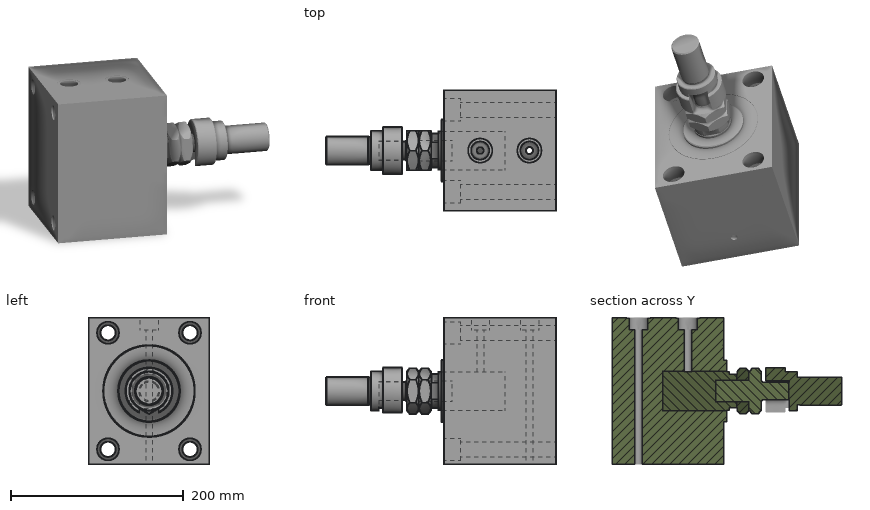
import cadquery as cq
import math


overall_length = 267.0

block_length = 130.0
block_width = 140.0
block_height = 170.0
boss_radius = 36.0
boss_length = 3.5
boss_chamfer = 1.0

gland_radius = 53.5
groove_width = 0.8
groove_depth = 0.5

mount_pitch_y = 95.0
mount_pitch_z = 135.0
mount_diameter = 17.4
mount_bore_diameter = 25.5
mount_bore_depth = 18.7

front_port_x = 42.0
rear_port_x = 99.0
spotface_diameter = 28.0
spotface_depth = 0.3
port_diameter = 21.0
port_depth = 14.0
drill_diameter = 8.0

rod_radius = 22.5
rod_neck_radius = 22.0
rod_front_x = -15.0
rod_front_chamfer = 0.5
flats_end_x = -6.5
rod_across_flats = 39.5
rod_rear_x = (front_port_x + rear_port_x) / 2

hex_across_flats = 46.2
hex_thickness = 14.2
hex_corner_radius = hex_across_flats / math.sqrt(3)
hex_face_radius = 22.5
hex_chamfer_angle = 40
nut_front_x = rod_front_x - hex_thickness
stud_hex_front_x = nut_front_x - hex_thickness

neck_radius = 10.7
neck_flare = 1.3
shank_radius = 12.0
shank_depth_in_rod = 24.0

tip_x = block_length - overall_length
pin_radius = 16.5
pin_chamfer = 1.3
pin_rear_taper = 1.0
relief_radius = 16.0
relief_front_x = -87.0
flange_front_x = -85.2
flange_radius = 23.0
ring_front_x = -71.0
ring_rear_x = -48.3
ring_radius = 27.5
edge_chamfer = 0.8
slot_front_x = -75.5
slot_width = 23.0


def cylinder_x(radius, start, end):
    """Round bar on the X axis from start to end."""
    return cq.Workplane("YZ").workplane(offset=start).circle(radius).extrude(end - start)


def make_housing():
    block = cq.Workplane("XY").box(block_length, block_width, block_height, centered=(False, True, True))
    boss = cylinder_x(boss_radius, -boss_length, 0).faces("<X").chamfer(boss_chamfer)
    housing = block.union(boss)

    groove = cylinder_x(gland_radius, 0, groove_depth).cut(
        cylinder_x(gland_radius - groove_width, 0, groove_depth)
    )
    housing = housing.cut(groove)

    mount_points = [
        (side_y * mount_pitch_y / 2, side_z * mount_pitch_z / 2) for side_y in (-1, 1) for side_z in (-1, 1)
    ]
    front_plane = cq.Workplane("YZ").pushPoints(mount_points)
    housing = housing.cut(front_plane.circle(mount_diameter / 2).extrude(block_length))
    housing = housing.cut(front_plane.circle(mount_bore_diameter / 2).extrude(mount_bore_depth))

    top_plane = cq.Workplane("XY").workplane(offset=block_height / 2)
    ports = top_plane.pushPoints([(front_port_x, 0), (rear_port_x, 0)])
    housing = housing.cut(ports.circle(spotface_diameter / 2).extrude(-spotface_depth))
    housing = housing.cut(ports.circle(port_diameter / 2).extrude(-port_depth))

    front_drill = top_plane.center(front_port_x, 0).circle(drill_diameter / 2).extrude(-block_height / 2)
    rear_drill = top_plane.center(rear_port_x, 0).circle(drill_diameter / 2).extrude(-block_height)
    rod_bore = cylinder_x(rod_radius, -boss_length, rod_rear_x)
    return housing.cut(front_drill).cut(rear_drill).cut(rod_bore)


def make_rod():
    square_length = flats_end_x - rod_front_x
    square = (
        cq.Workplane("YZ")
        .workplane(offset=rod_front_x)
        .rect(rod_across_flats, rod_across_flats)
        .extrude(square_length)
    )
    wrench_neck = cylinder_x(rod_neck_radius, rod_front_x, flats_end_x).faces("<X").chamfer(rod_front_chamfer)
    rod = cylinder_x(rod_radius, flats_end_x, rod_rear_x).union(wrench_neck.intersect(square))
    return rod.cut(cylinder_x(shank_radius, rod_front_x, rod_front_x + shank_depth_in_rod))


def make_hexagon(front_x):
    """Hexagon with corners up and down, both ends turned to a chamfer cone."""
    hexagon = (
        cq.Workplane("YZ")
        .workplane(offset=front_x)
        .polygon(6, 2 * hex_corner_radius)
        .extrude(hex_thickness)
        .rotate((0, 0, 0), (1, 0, 0), 90)
    )
    chamfer_length = (hex_corner_radius - hex_face_radius) * math.tan(math.radians(hex_chamfer_angle))
    rear_x = front_x + hex_thickness
    turned = (
        cq.Workplane("XY")
        .polyline(
            [
                (front_x, 0),
                (front_x, hex_face_radius),
                (front_x + chamfer_length, hex_corner_radius),
                (rear_x - chamfer_length, hex_corner_radius),
                (rear_x, hex_face_radius),
                (rear_x, 0),
            ]
        )
        .close()
        .revolve(360, (0, 0, 0), (1, 0, 0))
    )
    return hexagon.intersect(turned)


def make_lock_nut():
    return make_hexagon(nut_front_x).cut(cylinder_x(shank_radius, nut_front_x, rod_front_x))


def make_stud():
    neck = cylinder_x(neck_radius, slot_front_x, stud_hex_front_x)
    flare = (
        cq.Workplane("YZ")
        .workplane(offset=stud_hex_front_x)
        .circle(neck_radius + neck_flare)
        .extrude(-neck_flare, taper=45)
    )
    shank = cylinder_x(shank_radius, nut_front_x, rod_front_x + shank_depth_in_rod)
    return make_hexagon(stud_hex_front_x).union(neck).union(flare).union(shank)


def make_coupling():
    pin = (
        cylinder_x(pin_radius, tip_x, relief_front_x)
        .faces("<X")
        .chamfer(pin_chamfer)
    )
    taper = (
        cq.Workplane("XY")
        .polyline(
            [
                (relief_front_x - pin_rear_taper, pin_radius),
                (relief_front_x, pin_radius),
                (relief_front_x, relief_radius),
            ]
        )
        .close()
        .revolve(360, (0, 0, 0), (1, 0, 0))
    )
    pin = pin.cut(taper)
    relief = cylinder_x(relief_radius, relief_front_x, flange_front_x)
    flange = cylinder_x(flange_radius, flange_front_x, ring_front_x).faces("<X").chamfer(edge_chamfer)
    ring = cylinder_x(ring_radius, ring_front_x, ring_rear_x).faces("<X or >X").chamfer(edge_chamfer)
    coupling = pin.union(relief).union(flange).union(ring)

    slot_length = ring_rear_x - slot_front_x
    slot_end = cylinder_x(slot_width / 2, slot_front_x, ring_rear_x)
    slot_mouth = (
        cq.Workplane("XY")
        .box(slot_length, slot_width, ring_radius, centered=(False, True, False))
        .translate((slot_front_x, 0, -ring_radius))
    )
    return coupling.cut(slot_end).cut(slot_mouth)


housing = make_housing()
rod = make_rod()
lock_nut = make_lock_nut()
stud = make_stud()
coupling = make_coupling()

result = cq.Compound.makeCompound(
    [housing.val(), rod.val(), lock_nut.val(), stud.val(), coupling.val()]
)